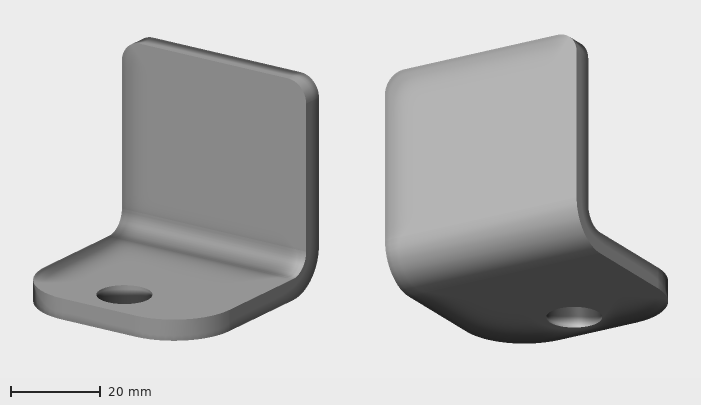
import cadquery as cq

width = 50.0
depth = 50.0
height = 50.0
thickness = 5.0
inner_bend_radius = 5.0
base_corner_radius = 15.0
wall_corner_radius = 5.0
hole_diameter = 12.5
hole_to_front_edge = 10.0

outer_bend_radius = inner_bend_radius + thickness


def bent_plate():
    """L-shaped plate, front edge at Y = 0 and underside at Z = 0."""
    profile = (
        cq.Workplane("YZ")
        .polyline([
            (0, 0),
            (depth, 0),
            (depth, height),
            (depth - thickness, height),
            (depth - thickness, thickness),
            (0, thickness),
        ])
        .close()
    )
    plate = profile.extrude(width / 2, both=True)
    inner_edge = cq.selectors.NearestToPointSelector((0, depth - thickness, thickness))
    plate = plate.edges(inner_edge).fillet(inner_bend_radius)
    return plate.edges("|X and >Y and <Z").fillet(outer_bend_radius)


def round_corners(plate):
    """Round the free corners of the base and of the upright wall."""
    plate = plate.faces("<Y").edges("|Z").fillet(base_corner_radius)
    return plate.faces(">Z").edges("|Y").fillet(wall_corner_radius)


hole = (
    cq.Workplane("XY")
    .center(0, hole_to_front_edge)
    .circle(hole_diameter / 2)
    .extrude(thickness)
)

result = round_corners(bent_plate()).cut(hole)